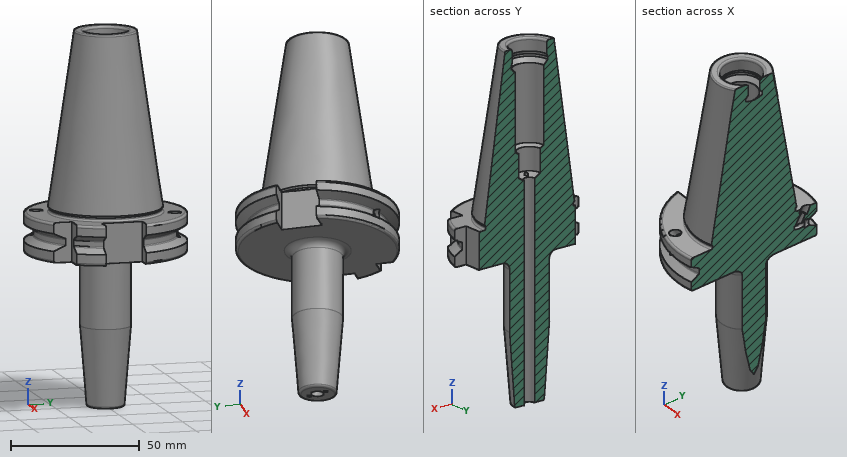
import cadquery as cq
import math


GAUGE_DIAMETER = 44.45
TAPER_LENGTH = 68.4
TAPER_SLOPE = 7 / 48
NOSE_LENGTH = 80.0
SMALL_END_FILLET = 0.6
TAPER_OVERRUN = 1.1

NECK_RADIUS = 21.8
NECK_TOP_Z = -1.9
NECK_FILLET = 0.8

FLANGE_RADIUS = 63.55 / 2
FLANGE_TOP_Z = -3.2
FLANGE_BOTTOM_Z = -19.1
FLANGE_FILLET = 1.0
GROOVE_Z = -11.05
GROOVE_ROOT_RADIUS = 28.0
GROOVE_ROOT_FILLET = 0.5
GROOVE_MOUTH_WIDTH = 7.0
GROOVE_WALL_ANGLE = 30

SLOT_WIDTH = 16.1
LEFT_SLOT_FLOOR_X = -22.8
RIGHT_SLOT_FLOOR_X = 25.0
NOTCH_OFFSET = 18.5

SHANK_RADIUS = 10.0
SHANK_FILLET = 3.0
SHANK_END_Z = -48.0
NOSE_TAPER_ANGLE = 4.6
NOSE_FILLET = 1.0

MOUTH_FILLET = 1.0
PILOT_RADIUS = 8.5
PILOT_DEPTH = 5.8
RELIEF_RADIUS = 8.95
RELIEF_START_DEPTH = 7.05
RELIEF_END_DEPTH = 8.1
MAIN_BORE_RADIUS = 7.0
MAIN_BORE_DEPTH = 43.0
LOWER_BORE_RADIUS = 5.25
LOWER_BORE_LENGTH = 10.0
CENTRE_HOLE_RADIUS = 2.5
DRILL_POINT_ANGLE = 118

COOLANT_ANGLE = 70.3
NOSE_CHANNEL_RADIUS = 0.75
NOSE_CHANNEL_PITCH_RADIUS = 3.9
FLANGE_HOLE_RADIUS = 2.1
FLANGE_HOLE_PITCH_RADIUS = 27.0
FLANGE_HOLE_TILT = 30
FLANGE_HOLE_DEPTH = 3.2
LINK_HOLE_RADIUS = 1.2
CROSS_HOLE_RADIUS = 1.0
CROSS_HOLE_MOUTH_RADIUS = 2.0
CROSS_HOLE_MOUTH_DEPTH = 2.0

EDGE_TOLERANCE = 0.01


def fillet_ring(body, ring_radius, ring_z, fillet_radius):
    """Round the circular edge of the given radius and height."""
    reach = ring_radius + EDGE_TOLERANCE
    box = cq.selectors.BoxSelector(
        (-reach, -reach, ring_z - EDGE_TOLERANCE),
        (reach, reach, ring_z + EDGE_TOLERANCE),
        boundingbox=True,
    )
    rings = [e for e in body.edges(box).vals() if e.geomType() == "CIRCLE"]
    edge = max(rings, key=lambda ring: ring.radius())
    return body.newObject([edge]).fillet(fillet_radius)


def make_body():
    """Revolve the outside outline, from the small end down to the nose face."""
    small_end_radius = GAUGE_DIAMETER / 2 - TAPER_LENGTH * TAPER_SLOPE
    large_end_radius = GAUGE_DIAMETER / 2 + TAPER_OVERRUN * TAPER_SLOPE

    groove_depth = FLANGE_RADIUS - GROOVE_ROOT_RADIUS
    mouth_half = GROOVE_MOUTH_WIDTH / 2
    root_half = mouth_half - groove_depth * math.tan(math.radians(GROOVE_WALL_ANGLE))

    nose_length = SHANK_END_Z + NOSE_LENGTH
    nose_radius = SHANK_RADIUS - nose_length * math.tan(math.radians(NOSE_TAPER_ANGLE))

    outline = (
        cq.Workplane("XZ")
        .moveTo(0, TAPER_LENGTH)
        .lineTo(small_end_radius, TAPER_LENGTH)
        .lineTo(large_end_radius, -TAPER_OVERRUN)
        .lineTo(NECK_RADIUS, NECK_TOP_Z)
        .lineTo(NECK_RADIUS, FLANGE_TOP_Z)
        .lineTo(FLANGE_RADIUS, FLANGE_TOP_Z)
        .lineTo(FLANGE_RADIUS, GROOVE_Z + mouth_half)
        .lineTo(GROOVE_ROOT_RADIUS, GROOVE_Z + root_half)
        .lineTo(GROOVE_ROOT_RADIUS, GROOVE_Z - root_half)
        .lineTo(FLANGE_RADIUS, GROOVE_Z - mouth_half)
        .lineTo(FLANGE_RADIUS, FLANGE_BOTTOM_Z)
        .lineTo(SHANK_RADIUS, FLANGE_BOTTOM_Z)
        .lineTo(SHANK_RADIUS, SHANK_END_Z)
        .lineTo(nose_radius, -NOSE_LENGTH)
        .lineTo(0, -NOSE_LENGTH)
        .close()
    )
    body = outline.revolve(360, (0, 0, 0), (0, 1, 0))

    rounded_rings = [
        (small_end_radius, TAPER_LENGTH, SMALL_END_FILLET),
        (NECK_RADIUS, FLANGE_TOP_Z, NECK_FILLET),
        (FLANGE_RADIUS, FLANGE_TOP_Z, FLANGE_FILLET),
        (GROOVE_ROOT_RADIUS, GROOVE_Z + root_half, GROOVE_ROOT_FILLET),
        (GROOVE_ROOT_RADIUS, GROOVE_Z - root_half, GROOVE_ROOT_FILLET),
        (FLANGE_RADIUS, FLANGE_BOTTOM_Z, FLANGE_FILLET),
        (SHANK_RADIUS, FLANGE_BOTTOM_Z, SHANK_FILLET),
        (nose_radius, -NOSE_LENGTH, NOSE_FILLET),
    ]
    for ring_radius, ring_z, fillet_radius in rounded_rings:
        body = fillet_ring(body, ring_radius, ring_z, fillet_radius)
    return body


def make_bore():
    """Pilot bore with its relief groove, the two bores below it and the centre hole."""
    point_slope = 1 / math.tan(math.radians(DRILL_POINT_ANGLE / 2))
    mouth_fillet_mid = MOUTH_FILLET * (1 - math.sqrt(0.5))
    main_bore_start_z = TAPER_LENGTH - RELIEF_END_DEPTH - (RELIEF_RADIUS - MAIN_BORE_RADIUS)
    main_bore_end_z = TAPER_LENGTH - MAIN_BORE_DEPTH
    lower_bore_start_z = main_bore_end_z - (MAIN_BORE_RADIUS - LOWER_BORE_RADIUS) * point_slope
    lower_bore_end_z = lower_bore_start_z - LOWER_BORE_LENGTH
    centre_hole_start_z = lower_bore_end_z - (LOWER_BORE_RADIUS - CENTRE_HOLE_RADIUS) * point_slope
    outline = (
        cq.Workplane("XZ")
        .moveTo(0, TAPER_LENGTH)
        .lineTo(PILOT_RADIUS + MOUTH_FILLET, TAPER_LENGTH)
        .threePointArc(
            (PILOT_RADIUS + mouth_fillet_mid, TAPER_LENGTH - mouth_fillet_mid),
            (PILOT_RADIUS, TAPER_LENGTH - MOUTH_FILLET),
        )
        .lineTo(PILOT_RADIUS, TAPER_LENGTH - PILOT_DEPTH)
        .lineTo(RELIEF_RADIUS, TAPER_LENGTH - RELIEF_START_DEPTH)
        .lineTo(RELIEF_RADIUS, TAPER_LENGTH - RELIEF_END_DEPTH)
        .lineTo(MAIN_BORE_RADIUS, main_bore_start_z)
        .lineTo(MAIN_BORE_RADIUS, main_bore_end_z)
        .lineTo(LOWER_BORE_RADIUS, lower_bore_start_z)
        .lineTo(LOWER_BORE_RADIUS, lower_bore_end_z)
        .lineTo(CENTRE_HOLE_RADIUS, centre_hole_start_z)
        .lineTo(CENTRE_HOLE_RADIUS, -NOSE_LENGTH)
        .lineTo(0, -NOSE_LENGTH)
        .close()
    )
    return outline.revolve(360, (0, 0, 0), (0, 1, 0))


def flange_cutter(x_start, x_end, y_start, y_end):
    """Rectangular cutter through the full flange thickness."""
    return (
        cq.Workplane("XY", origin=(0, 0, FLANGE_BOTTOM_Z))
        .moveTo(x_start, y_start)
        .lineTo(x_end, y_start)
        .lineTo(x_end, y_end)
        .lineTo(x_start, y_end)
        .close()
        .extrude(FLANGE_TOP_Z - FLANGE_BOTTOM_Z)
    )


def coolant_holes(angle):
    """Nose channel, tilted flange hole, link hole and cross hole on one side of the axis."""
    outward = cq.Vector(math.cos(math.radians(angle)), math.sin(math.radians(angle)), 0)
    up = cq.Vector(0, 0, 1)
    tilt = math.radians(FLANGE_HOLE_TILT)
    hole_axis = up * math.cos(tilt) + outward * math.sin(tilt)

    nose_channel = cq.Solid.makeCylinder(
        NOSE_CHANNEL_RADIUS,
        NOSE_LENGTH + TAPER_LENGTH,
        outward * NOSE_CHANNEL_PITCH_RADIUS - up * NOSE_LENGTH,
        up,
    )

    mouth = outward * FLANGE_HOLE_PITCH_RADIUS + up * FLANGE_TOP_Z
    overrun = FLANGE_HOLE_RADIUS * math.tan(tilt)
    link_length = (FLANGE_TOP_Z - GROOVE_Z) / math.cos(tilt)
    flange_hole = cq.Solid.makeCylinder(
        FLANGE_HOLE_RADIUS,
        FLANGE_HOLE_DEPTH + overrun,
        mouth - hole_axis * FLANGE_HOLE_DEPTH,
        hole_axis,
    )
    link_hole = cq.Solid.makeCylinder(
        LINK_HOLE_RADIUS,
        link_length,
        mouth - hole_axis * link_length,
        hole_axis,
    )

    link_end_radius = FLANGE_HOLE_PITCH_RADIUS - link_length * math.sin(tilt)
    cross_hole_end_radius = link_end_radius - LINK_HOLE_RADIUS
    cross_hole = cq.Solid.makeCylinder(
        CROSS_HOLE_RADIUS,
        FLANGE_RADIUS - cross_hole_end_radius,
        outward * cross_hole_end_radius + up * GROOVE_Z,
        outward,
    )
    cross_mouth_end_radius = GROOVE_ROOT_RADIUS - CROSS_HOLE_MOUTH_DEPTH
    cross_hole_mouth = cq.Solid.makeCylinder(
        CROSS_HOLE_MOUTH_RADIUS,
        FLANGE_RADIUS - cross_mouth_end_radius,
        outward * cross_mouth_end_radius + up * GROOVE_Z,
        outward,
    )
    return [nose_channel, flange_hole, link_hole, cross_hole, cross_hole_mouth]


result = make_body().cut(make_bore())

half_slot = SLOT_WIDTH / 2
result = result.cut(flange_cutter(-FLANGE_RADIUS, LEFT_SLOT_FLOOR_X, -half_slot, half_slot))
result = result.cut(flange_cutter(RIGHT_SLOT_FLOOR_X, FLANGE_RADIUS, -half_slot, half_slot))
result = result.cut(flange_cutter(NOTCH_OFFSET, FLANGE_RADIUS, -FLANGE_RADIUS, -NOTCH_OFFSET))

for side_angle in (COOLANT_ANGLE, COOLANT_ANGLE + 180):
    for hole in coolant_holes(side_angle):
        result = result.cut(cq.Workplane(obj=hole))